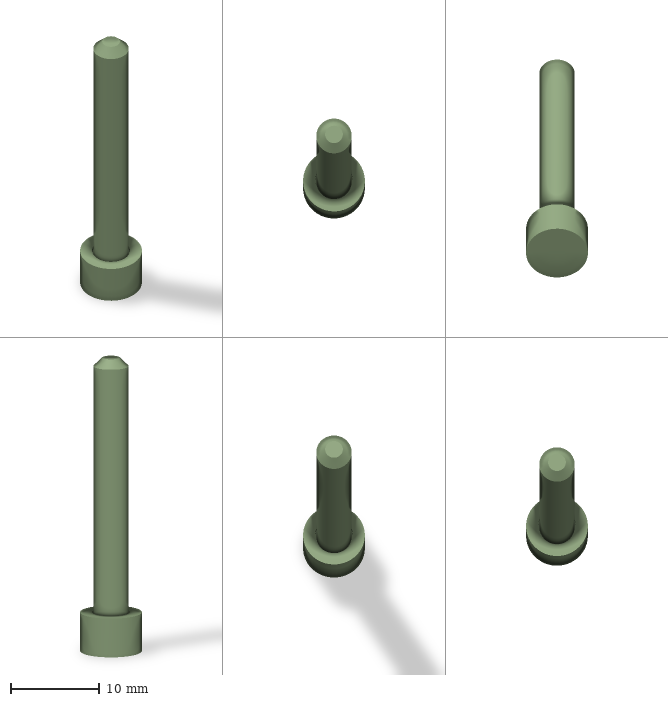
import cadquery as cq

total_length = 34.0
head_diameter = 7.0
head_height = 4.5
shank_diameter = 4.0

tip_diameter = 2.0
tip_height = 1.0

recess_diameter = 4.3
recess_depth = 0.4

head_radius = head_diameter / 2
shank_radius = shank_diameter / 2
recess_radius = recess_diameter / 2
tip_radius = tip_diameter / 2
recess_floor = head_height - recess_depth
tip_base = total_length - tip_height

half_profile = (
    cq.Workplane("XZ")
    .lineTo(head_radius, 0)
    .lineTo(head_radius, head_height)
    .lineTo(recess_radius, head_height)
    .lineTo(recess_radius, recess_floor)
    .lineTo(shank_radius, recess_floor)
    .lineTo(shank_radius, tip_base)
    .lineTo(tip_radius, total_length)
    .lineTo(0, total_length)
    .close()
)

result = half_profile.revolve(360, (0, 0, 0), (0, 1, 0))